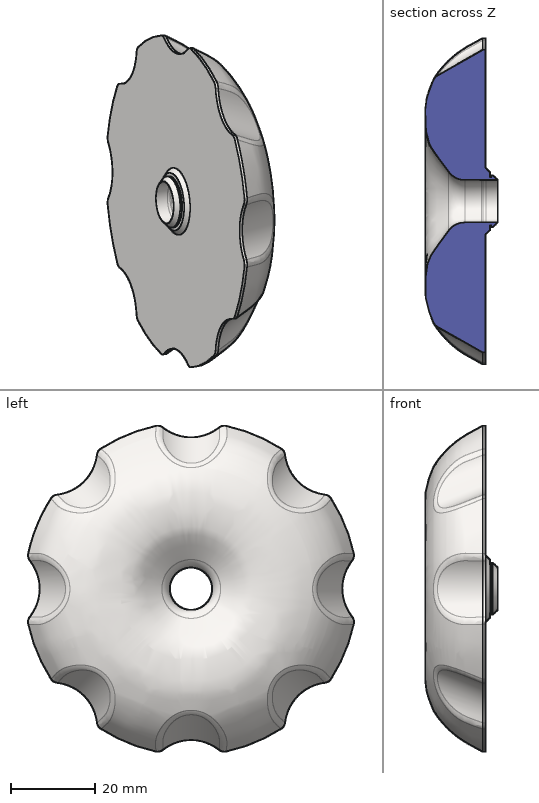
import cadquery as cq
import math


RIM_RADIUS = 39.62
RIM_BAND = 0.7
RIM_SLOPE = 28
CROWN_RADIUS = 20.5
CROWN_X = -14.4
DOME_POINTS = [(-6.4, 36.4), (-9.7, 33.2), (-12.2, 29.4), (-13.85, 25.1)]
DISH_EDGE_RADIUS = 7.0
DISH_EDGE_X = -8.85
DISH_SLOPE = 35

BORE_RADIUS = 5.0
MOUTH_END_X = -5.0

HUB_BASE_RADIUS = 8.0
HUB_SHOULDER_RADIUS = 6.9
HUB_SHOULDER_X = 1.05
GROOVE_RADIUS = 5.8
GROOVE_END_X = 1.3
COLLAR_RADIUS = 6.15
COLLAR_END_X = 1.75
HUB_TIP_RADIUS = 5.05
HUB_ROOT_DEPTH = 1.0
HUB_LENGTH = 2.93

SCALLOP_COUNT = 8
SCALLOP_PITCH = 360 / SCALLOP_COUNT
SCALLOP_RADIUS = 12.0
SCALLOP_FLOOR_RADIUS = 36.0
SCALLOP_TILT = 29.5
SCALLOP_HALF_LENGTH = 30.0
SCALLOP_EDGE_ROUND = 2.3


def make_dome():
    """Bored disc with a domed face, a dished centre and a rounded bore mouth, without its rim band."""
    crown = (CROWN_X, CROWN_RADIUS)
    dish_edge = (DISH_EDGE_X, DISH_EDGE_RADIUS)
    inward = (0, -1)
    rim_slope = (-math.cos(math.radians(RIM_SLOPE)), -math.sin(math.radians(RIM_SLOPE)))
    dish_slope = (math.sin(math.radians(DISH_SLOPE)), -math.cos(math.radians(DISH_SLOPE)))
    tangents = [rim_slope] + [None] * len(DOME_POINTS) + [inward, dish_slope]
    mouth_length = MOUTH_END_X - DISH_EDGE_X
    mouth_drop = DISH_EDGE_RADIUS - BORE_RADIUS
    mouth_round = (mouth_length**2 + mouth_drop**2) / (2 * mouth_drop)

    profile = (
        cq.Workplane("XY")
        .moveTo(-RIM_BAND, BORE_RADIUS)
        .lineTo(-RIM_BAND, RIM_RADIUS)
        .spline(DOME_POINTS + [crown, dish_edge], tangents, includeCurrent=True)
        .radiusArc((MOUTH_END_X, BORE_RADIUS), -mouth_round)
        .close()
    )
    dome = profile.revolve(360, (0, 0, 0), (1, 0, 0))
    return dome.rotate((0, 0, 0), (1, 0, 0), SCALLOP_PITCH / 2)


def make_hub():
    """Chamfered shoulder, groove and tapered collar, rooted inside the disc around the bore."""
    outline = [
        (-HUB_ROOT_DEPTH, BORE_RADIUS),
        (-HUB_ROOT_DEPTH, HUB_BASE_RADIUS),
        (0, HUB_BASE_RADIUS),
        (HUB_SHOULDER_X, HUB_SHOULDER_RADIUS),
        (HUB_SHOULDER_X, GROOVE_RADIUS),
        (GROOVE_END_X, GROOVE_RADIUS),
        (GROOVE_END_X, COLLAR_RADIUS),
        (COLLAR_END_X, COLLAR_RADIUS),
        (HUB_LENGTH, HUB_TIP_RADIUS),
        (HUB_LENGTH, BORE_RADIUS),
    ]
    return cq.Workplane("XY").polyline(outline).close().revolve(360, (0, 0, 0), (1, 0, 0))


def make_scallop(angle):
    """Cylinder leaning inward toward the domed face, turned to its place around X."""
    tilt = math.radians(SCALLOP_TILT)
    along = cq.Vector(math.cos(tilt), 0, math.sin(tilt))
    axis_at_band = cq.Vector(-RIM_BAND, 0, SCALLOP_FLOOR_RADIUS + SCALLOP_RADIUS / math.cos(tilt))
    cutter = cq.Solid.makeCylinder(
        SCALLOP_RADIUS,
        2 * SCALLOP_HALF_LENGTH,
        axis_at_band - along * SCALLOP_HALF_LENGTH,
        along,
    )
    return cq.Workplane(cutter).rotate((0, 0, 0), (1, 0, 0), angle)


def round_scallop_edges(dome):
    """Round the edges where the scallops meet the dome."""
    edges = []
    for wall in dome.faces("%CYLINDER").vals():
        center = wall.Center()
        if math.hypot(center.y, center.z) > BORE_RADIUS:
            edges += [edge for edge in wall.Edges() if edge.BoundingBox().xlen > RIM_BAND]
    return dome.newObject(edges).fillet(SCALLOP_EDGE_ROUND)


def add_rim_band(dome):
    """Carry the scalloped outline of the dome straight back to the rear plane."""
    rear_face = dome.faces(">X").val()
    return dome.union(cq.Workplane(cq.Solid.extrudeLinear(rear_face, cq.Vector(RIM_BAND, 0, 0))))


dome = make_dome()
for index in range(SCALLOP_COUNT):
    dome = dome.cut(make_scallop(index * SCALLOP_PITCH))

dome = round_scallop_edges(dome)
body = add_rim_band(dome)
result = body.union(make_hub())